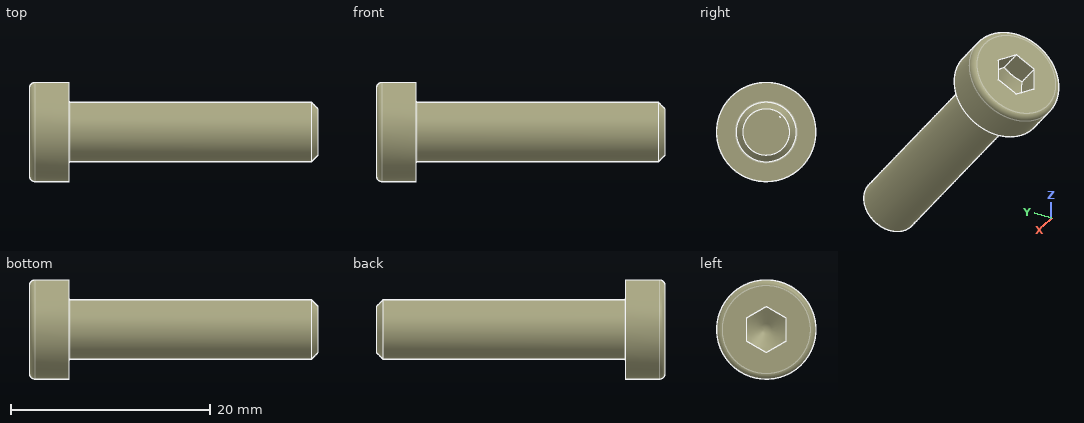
import cadquery as cq
import math

total_length = 29.0
head_diameter = 10.0
head_height = 4.0
shank_diameter = 6.0
head_edge_radius = 0.58
tip_chamfer = 0.67
neck_radius = 0.1

socket_across_flats = 4.0
socket_depth = 2.73
socket_cone_angle = 120.0

head_face_x = -total_length / 2
bearing_face_x = head_face_x + head_height
socket_corner_diameter = socket_across_flats / math.cos(math.radians(30))


def make_head():
    head = cq.Workplane("YZ", origin=(head_face_x, 0, 0)).circle(head_diameter / 2).extrude(head_height)
    return head.faces("<X").edges().fillet(head_edge_radius)


def make_shank():
    shank_length = total_length - head_height
    shank = cq.Workplane("YZ", origin=(bearing_face_x, 0, 0)).circle(shank_diameter / 2).extrude(shank_length)
    return shank.faces(">X").edges().chamfer(tip_chamfer)


def make_socket():
    """Hexagonal recess whose floor is a cone running out through the hexagon corners."""
    corner_radius = socket_corner_diameter / 2
    cone_depth = corner_radius / math.tan(math.radians(socket_cone_angle / 2))
    hexagon = (
        cq.Workplane("YZ", origin=(head_face_x, 0, 0))
        .transformed(rotate=(0, 0, 90))
        .polygon(6, socket_corner_diameter)
        .extrude(socket_depth + cone_depth)
    )
    pointed_drill = (
        cq.Workplane("XY", origin=(head_face_x, 0, 0))
        .moveTo(0, 0)
        .lineTo(0, corner_radius)
        .lineTo(socket_depth, corner_radius)
        .lineTo(socket_depth + cone_depth, 0)
        .close()
        .revolve(360, (0, 0, 0), (1, 0, 0))
    )
    return hexagon.intersect(pointed_drill)


screw = make_head().union(make_shank())

neck_box = cq.selectors.BoxSelector(
    (bearing_face_x - neck_radius, -shank_diameter, -shank_diameter),
    (bearing_face_x + neck_radius, shank_diameter, shank_diameter),
)
neck_edge = screw.edges(neck_box).edges(cq.selectors.RadiusNthSelector(0))
screw = neck_edge.fillet(neck_radius)

result = screw.cut(make_socket())